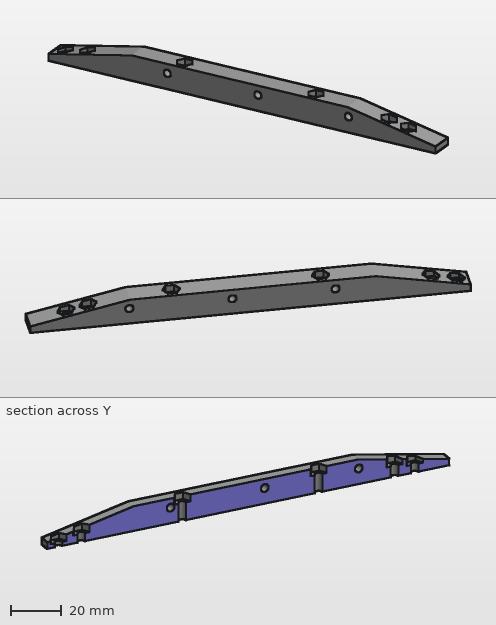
import cadquery as cq
import math

length = 177
width = 10.0
height = 11.0
end_height = 3.0
left_ridge_x = 38.0
right_ridge_x = 136.8

hole_diameter = 3.2
side_hole_z = 6.9
middle_side_hole_x = 95.8
side_hole_pitch = 41.5

screw_holes = [
    (5.0, 2.0),
    (15.0, 3.7),
    (59.5, 8.0),
    (119.5, 8.0),
    (153.0, 5.0),
    (161.8, 3.7),
]
nut_across_flats = 6.0


def make_bar():
    """Bar with a flat base and a ramp at each end, centred on y = 0."""
    return (
        cq.Workplane("XZ")
        .moveTo(0, 0)
        .lineTo(length, 0)
        .lineTo(length, end_height)
        .lineTo(right_ridge_x, height)
        .lineTo(left_ridge_x, height)
        .lineTo(0, end_height)
        .close()
        .extrude(width / 2, both=True)
    )


def side_holes():
    """Three evenly spaced holes through the bar's width."""
    centres = [(middle_side_hole_x + step * side_hole_pitch, side_hole_z) for step in (-1, 0, 1)]
    return (
        cq.Workplane("XZ")
        .pushPoints(centres)
        .circle(hole_diameter / 2)
        .extrude(width, both=True)
    )


def screw_hole(x, floor_z):
    """Vertical through hole under a flat-floored hexagonal nut pocket."""
    across_corners = nut_across_flats / math.cos(math.pi / 6)
    shaft = cq.Workplane("XY").center(x, 0).circle(hole_diameter / 2).extrude(height)
    pocket = (
        cq.Workplane("XY", origin=(x, 0, floor_z))
        .polygon(6, across_corners)
        .extrude(height)
    )
    return shaft.union(pocket)


result = make_bar().cut(side_holes())
for hole_x, pocket_floor_z in screw_holes:
    result = result.cut(screw_hole(hole_x, pocket_floor_z))